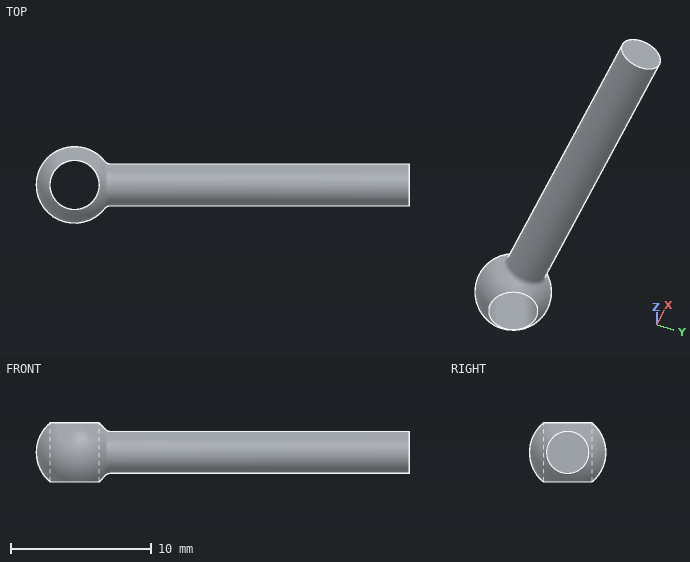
import cadquery as cq
import math

total_length = 26.65
ball_diameter = 5.5
hole_diameter = 3.5
shank_diameter = 3.0
neck_radius = 0.5

ball_radius = ball_diameter / 2
shank_radius = shank_diameter / 2
shank_end = total_length - ball_radius

neck_center_height = shank_radius + neck_radius
neck_center_x = math.sqrt((ball_radius + neck_radius) ** 2 - neck_center_height**2)
neck_angle = math.atan2(neck_center_height, neck_center_x)


def neck_point(angle):
    """Point on the neck arc, with the angle measured from the -X direction."""
    return (
        neck_center_x - neck_radius * math.cos(angle),
        neck_center_height - neck_radius * math.sin(angle),
    )


body = (
    cq.Workplane("XY")
    .moveTo(-ball_radius, 0)
    .threePointArc((0, ball_radius), neck_point(neck_angle))
    .threePointArc(neck_point((neck_angle + math.pi / 2) / 2), neck_point(math.pi / 2))
    .lineTo(shank_end, shank_radius)
    .lineTo(shank_end, 0)
    .close()
    .revolve(360, (0, 0, 0), (1, 0, 0))
)

eye = cq.Workplane("XY").cylinder(ball_diameter, hole_diameter / 2)

result = body.cut(eye)